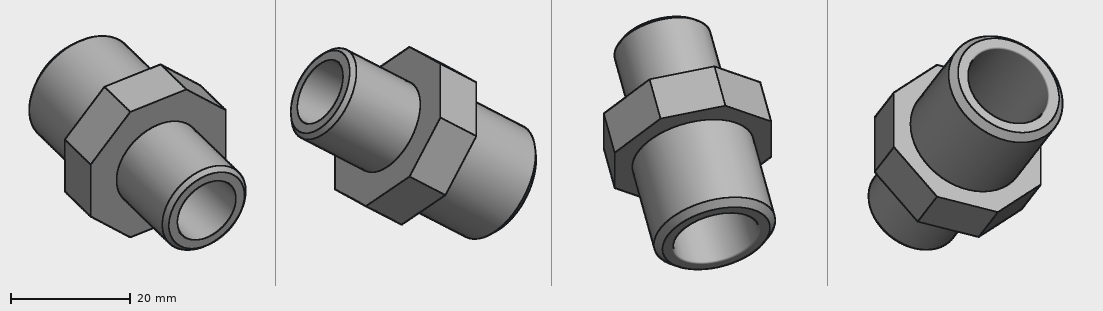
import cadquery as cq
import math

total_length = 40.0
large_length = 17.0
collar_length = 8.0
collar_end = large_length + collar_length
small_length = total_length - collar_end

collar_across_flats = 27.0
large_diameter = 20.95
large_chamfer = 1.2
small_diameter = 16.7
small_chamfer = 0.8

wide_bore_diameter = 14.7
wide_bore_depth = collar_end
narrow_bore_diameter = 11.7
mouth_radius = 0.3


def cylinder(diameter, start, length):
    """Cylinder on the X axis, running towards +X from start."""
    return cq.Workplane("YZ", origin=(start, 0, 0)).circle(diameter / 2).extrude(length)


def octagonal_collar():
    """Octagonal wrench collar with flats facing Y and Z."""
    sides = 8
    half_side_angle = 180 / sides
    across_corners = collar_across_flats / math.cos(math.radians(half_side_angle))
    return (
        cq.Workplane("YZ", origin=(large_length, 0, 0))
        .transformed(rotate=(0, 0, half_side_angle))
        .polygon(sides, across_corners)
        .extrude(collar_length)
    )


def stepped_bore():
    """Wide bore, then the narrow bore to the far end."""
    wide = cylinder(wide_bore_diameter, 0, wide_bore_depth)
    narrow = cylinder(narrow_bore_diameter, 0, total_length)
    return wide.union(narrow)


large_end = cylinder(large_diameter, 0, large_length).faces("<X").chamfer(large_chamfer)
small_end = cylinder(small_diameter, collar_end, small_length).faces(">X").chamfer(small_chamfer)

body = large_end.union(octagonal_collar()).union(small_end).cut(stepped_bore())

bore_mouth = min(body.faces("<X").edges().vals(), key=lambda edge: edge.Length())
result = body.newObject([bore_mouth]).fillet(mouth_radius)